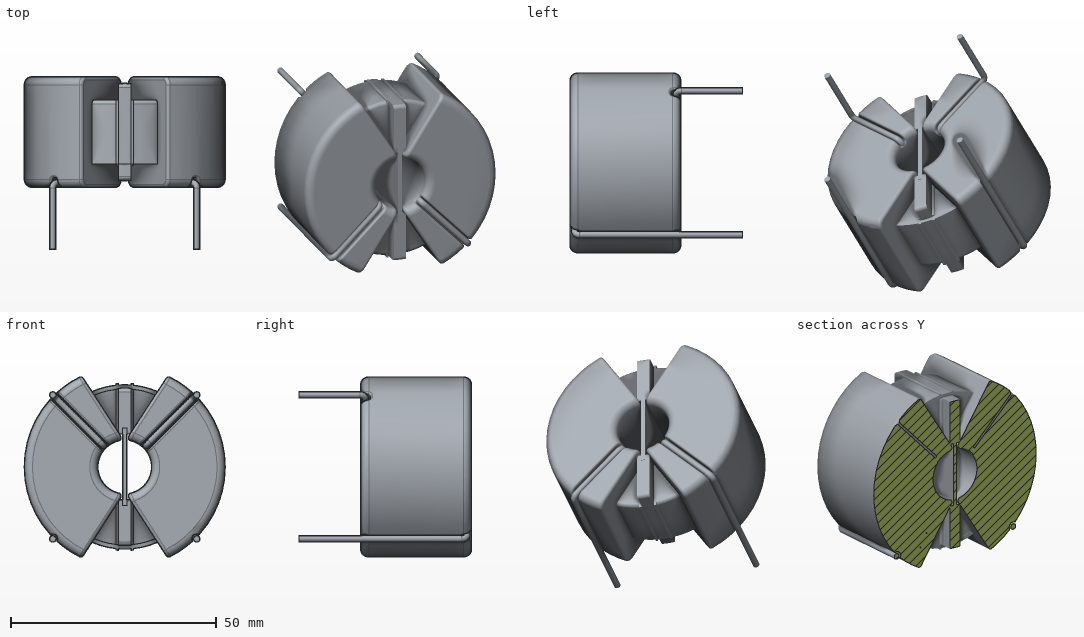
import cadquery as cq
import math


winding_radius = 24.45
bore_radius = 6.5
half_depth = 13.5
rim_round = 2.0
side_round = 0.8
gap_apex = 6.0
gap_half_angle = 32.9

case_radius = 20.0
case_wall = 1.05
case_inner_radius = 8.0
case_half_depth = 7.8
case_recess = 0.1
case_back_round = 0.95

fin_half_width = 1.55
fin_front_radius = 19.2
fin_half_depth = 11.8
fin_end_round = 0.95
fin_root_round = 0.6
rib_width = 0.6
rib_radius = 20.35

plate_thickness = 1.0
plate_half_height = 9.45
plate_proud = 0.15

wire_radius = 0.8
bend_radius = 1.25
pin_offset = 17.5
pin_angle = 45.0
pin_radius = pin_offset * math.sqrt(2)
pin_tip_y = -28.5
lead_depth = 12.4
lead_inner_radius = 7.35
lead_anchor = 8.8

groove_half_width = 1.1
groove_floor = 11.05
channel_floor = 23.6
groove_bottom_round = 1.05
groove_round = 0.5


def disc(radius, y_start, y_end):
    """Solid cylinder about the Y axis."""
    return cq.Workplane("XZ", origin=(0, y_start, 0)).circle(radius).extrude(y_start - y_end)


def winding():
    """Right-hand winding: a rounded ring cut by the two V-gap planes."""
    ring = (
        disc(winding_radius, -half_depth, half_depth)
        .cut(disc(bore_radius, -half_depth, half_depth))
        .faces("|Y").edges().fillet(rim_round)
    )
    reach = 2 * winding_radius
    spread = reach * math.tan(math.radians(gap_half_angle))
    keep = (
        cq.Workplane("XZ")
        .polyline([
            (0, gap_apex), (spread, gap_apex + reach),
            (spread, -gap_apex - reach), (0, -gap_apex),
        ])
        .close()
        .extrude(half_depth, both=True)
    )
    half = ring.intersect(keep)
    return half.faces("%PLANE").faces("not |Y").edges().fillet(side_round)


def turn(body, angle):
    """Turn a body about the Y axis, from +X towards +Z for a positive angle."""
    return body.rotate((0, 0, 0), (0, 1, 0), -angle)


def flip(body):
    """Half turn about the X axis: front becomes back and top becomes bottom."""
    return body.rotate((0, 0, 0), (1, 0, 0), 180)


def front_slot():
    """Cutter for a round-bottomed radial wire groove in the -Y face, laid out along +X."""
    slot_depth = 2 * (half_depth - groove_floor)
    return (
        cq.Workplane("YZ", origin=(0, -groove_floor - slot_depth / 2, 0))
        .rect(slot_depth, 2 * groove_half_width)
        .extrude(2 * winding_radius)
        .edges("|X and >Y").fillet(groove_bottom_round)
    )


def pin_channel():
    """Cutter for a round-bottomed channel along Y in the outer wall, laid out at +X."""
    return (
        cq.Workplane("XZ", origin=(channel_floor + winding_radius / 2, 0, 0))
        .rect(winding_radius, 2 * groove_half_width)
        .extrude(half_depth, both=True)
        .edges("|Y and <X").fillet(groove_bottom_round)
    )


def add_wire_path(body, cutter):
    """Cut a wire path at the pin angle and round its rim."""
    grooved = turn(body, -pin_angle).cut(cutter)
    rounded = grooved.edges("|X").edges("<Y").fillet(groove_round)
    return turn(rounded, pin_angle)


def grooved_winding():
    """Winding with a front groove at the top, and a back groove and a pin channel at the bottom."""
    top_done = add_wire_path(winding(), front_slot())
    return flip(add_wire_path(flip(top_done), front_slot().union(pin_channel())))


def lead(run_y, anchor_y):
    """Round wire along +X: a pin, a bend, a radial run at run_y and a bend into the winding."""
    diagonal = bend_radius * math.sqrt(0.5)
    outer_bend_y = run_y - bend_radius
    outer_center_x = pin_radius - bend_radius
    inner_step = math.copysign(bend_radius, anchor_y - run_y)
    inner_center_x = lead_inner_radius + bend_radius
    inner_bend_y = run_y + inner_step
    path = (
        cq.Workplane("XY")
        .moveTo(pin_radius, pin_tip_y)
        .lineTo(pin_radius, outer_bend_y)
        .threePointArc((outer_center_x + diagonal, outer_bend_y + diagonal), (outer_center_x, run_y))
        .lineTo(inner_center_x, run_y)
        .threePointArc(
            (inner_center_x - diagonal, inner_bend_y - math.copysign(diagonal, inner_step)),
            (lead_inner_radius, inner_bend_y),
        )
        .lineTo(lead_inner_radius, anchor_y)
    )
    return cq.Workplane("XZ", origin=(pin_radius, pin_tip_y, 0)).circle(wire_radius).sweep(path)


def right_half():
    """Right-hand winding with its two leads."""
    upper_lead = turn(lead(-lead_depth, -lead_anchor), pin_angle)
    lower_lead = turn(lead(lead_depth, lead_anchor), -pin_angle)
    return grooved_winding().union(upper_lead).union(lower_lead)


def core_case():
    """Case ring: a shallow recess inside its outer wall at the front, rounded at the back."""
    ring = disc(case_radius, -case_half_depth, case_half_depth)
    ring = ring.faces(">Y").edges().fillet(case_back_round)
    recess = disc(case_radius - case_wall, -case_half_depth, -case_half_depth + case_recess)
    return ring.cut(recess)


def label_ribs():
    """Shallow ribs along the case that frame the label strip, at the top and the bottom."""
    ribs = disc(rib_radius, -case_half_depth, case_half_depth)
    strip_width = 2 * (fin_half_width + rib_width)
    outer = cq.Workplane("XY").box(strip_width, 2 * case_half_depth, 3 * rib_radius)
    inner = cq.Workplane("XY").box(2 * fin_half_width, 2 * case_half_depth, 3 * rib_radius)
    case_inside = disc(case_radius - case_wall, -case_half_depth, case_half_depth)
    return ribs.intersect(outer.cut(inner)).cut(case_inside)


def fin():
    """Divider fin: a slice of a cylinder, lower in front of the case, with its +-Y rims rounded."""
    front_fin = disc(fin_front_radius, -fin_half_depth, case_half_depth)
    front_fin = front_fin.faces("<Y").edges().fillet(fin_end_round)
    back_fin = disc(case_radius, -case_half_depth, fin_half_depth)
    back_fin = back_fin.faces(">Y").edges().fillet(fin_end_round)
    slab = cq.Workplane("XY").box(2 * fin_half_width, 2 * fin_half_depth, 2 * case_radius)
    return front_fin.union(back_fin).intersect(slab)


def fin_root():
    """Concave fillet between the recessed case front and the +X flank of the fin."""
    floor_y = -case_half_depth + case_recess
    inside_radius = case_radius - case_wall
    bar = (
        cq.Workplane("XY", origin=(0, 0, -inside_radius))
        .moveTo(fin_half_width, floor_y)
        .lineTo(fin_half_width + fin_root_round, floor_y)
        .radiusArc((fin_half_width, floor_y - fin_root_round), fin_root_round)
        .close()
        .extrude(2 * inside_radius)
    )
    return bar.intersect(disc(inside_radius, -half_depth, half_depth))


def core():
    """Case, ribs and fin with the round opening through them."""
    root = fin_root()
    body = core_case().union(label_ribs()).union(fin())
    body = body.union(root).union(root.mirror("YZ"))
    return body.cut(disc(case_inner_radius, -half_depth, half_depth))


def plate():
    """Thin insulating plate that divides the bore."""
    return cq.Workplane("XY").box(
        plate_thickness, 2 * (fin_half_depth + plate_proud), 2 * plate_half_height
    )


right = right_half()
left = right.mirror("YZ")
result = core().union(plate()).union(right).union(left)